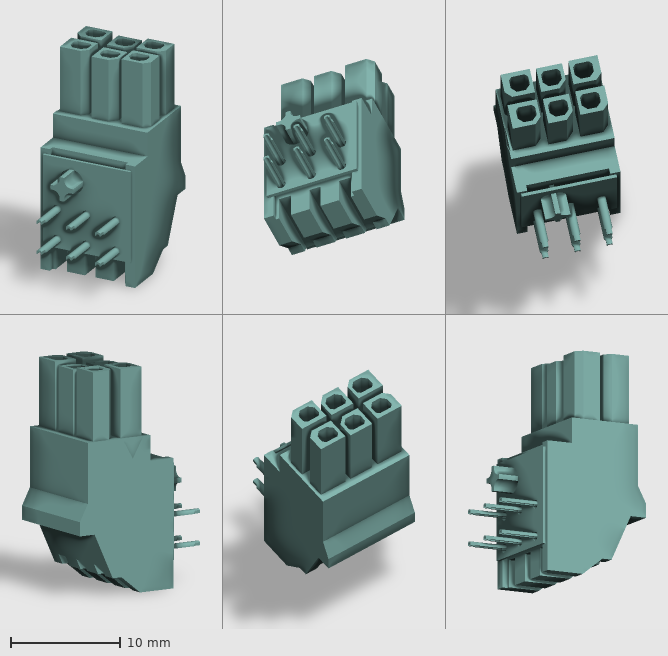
import cadquery as cq
import math

body_width = 9.7
body_top = 14.54
step_height = 12.15
step_depth = 2.52
back_face = 9.38
latch_back = 10.24
side_outline = [
    (0, 0),
    (3.65, 0),
    (5.7, 1.64),
    (6.65, 1.64),
    (8.65, 5.92),
    (latch_back, 5.92),
    (latch_back, 7.24),
    (back_face, 8.85),
    (back_face, body_top),
    (step_depth, body_top),
    (step_depth, step_height),
    (0, step_height),
]

channel_width = 7.76
channel_depth = 0.52
outer_gap_start = 2.4
outer_gap_end = 3.57
middle_gap_width = 1.1

plate_width = 8.94
plate_thickness = 0.3
plate_bottom = 2.55
plate_top = 11.62

pitch = 3.0
columns = (-pitch, 0, pitch)

overall_height = 20.98
outer_tower_height = overall_height - body_top
middle_tower_height = 6.15
outer_tower_inner_x = 1.8
outer_tower_width = 2.73
middle_tower_width = 2.43
tower_depth = 2.3
tower_chamfer = 0.59
middle_chamfer = 0.71
back_row_y = 8.6
front_row_y = back_row_y - pitch
front_middle_depth = 2.41

opening_width = 1.78
opening_depth = 1.5
opening_inset = 0.42
opening_back_chamfer = 0.27
opening_front_chamfer = 0.46

notch_depth = 0.08
notch_width = 2.3
notch_height = 2.0

pin_tip_y = -3.92
pin_radius = 0.4
pin_groove_radius = 0.19
pin_drop = 0.1
pin_tip_width = 0.55
pin_tip_length = 0.52
pin_shoulder_length = 0.17
hole_radius = 0.42
lower_pin_z = 3.46
pin_rows = (lower_pin_z, lower_pin_z + pitch)

peg_x = -pitch / 2
peg_z = 9.5
peg_radius = 1.2
peg_end_y = -2.29
flute_offset = 0.97
peg_arm_width = 0.46


def block(x_range, y_range, z_range):
    """Box between two limits along each axis."""
    lows, highs = zip(x_range, y_range, z_range)
    sizes = [high - low for low, high in zip(lows, highs)]
    return cq.Workplane("XY").box(*sizes, centered=False).translate(lows)


def rod(x, z, radius, y_start, y_end):
    """Cylinder along Y."""
    plane = cq.Workplane("XZ", origin=(x, y_start, z))
    return plane.circle(radius).extrude(y_start - y_end)


def make_housing():
    half = body_width / 2
    housing = cq.Workplane("YZ", origin=(-half, 0, 0)).polyline(side_outline).close().extrude(body_width)
    channel = block((-channel_width / 2, channel_width / 2), (0, channel_depth), (0, step_height))
    housing = housing.cut(channel)

    gaps = (
        (-outer_gap_end, -outer_gap_start),
        (-middle_gap_width / 2, middle_gap_width / 2),
        (outer_gap_start, outer_gap_end),
    )
    for gap in gaps:
        housing = housing.cut(block(gap, (0, latch_back), (0, plate_bottom)))

    notch_outline = [
        (front_row_y, body_top),
        (front_row_y - notch_width, body_top),
        (front_row_y - notch_width / 2, body_top - notch_height),
    ]
    notch = cq.Workplane("YZ", origin=(-half, 0, 0)).polyline(notch_outline).close().extrude(notch_depth)
    return housing.cut(notch)


def make_tower(left, right, back, depth, height, chamfer, chamfer_left=False):
    """Socket tower with one front corner chamfered along its height."""
    front = back - depth
    cut_x, square_x, inward = (left, right, 1) if chamfer_left else (right, left, -1)
    outline = [
        (square_x, back),
        (square_x, front),
        (cut_x + inward * chamfer, front),
        (cut_x, front + chamfer),
        (cut_x, back),
    ]
    return cq.Workplane("XY", origin=(0, 0, body_top)).polyline(outline).close().extrude(height)


def make_opening(x, back):
    """Octagonal blind hole from the tower top down to the housing top."""
    side = x + opening_width / 2
    front = back - opening_depth
    outline = [
        (side - opening_back_chamfer, back),
        (side, back - opening_back_chamfer),
        (side, front + opening_front_chamfer),
        (side - opening_front_chamfer, front),
    ]
    mirrored = [(2 * x - px, py) for px, py in reversed(outline)]
    plane = cq.Workplane("XY", origin=(0, 0, body_top))
    return plane.polyline(outline + mirrored).close().extrude(outer_tower_height)


def make_tower_row(back, left_tower_chamfer_left, middle_depth):
    """Three towers side by side; the outer left one may mirror its chamfer."""
    inner = outer_tower_inner_x
    outer = inner + outer_tower_width
    half = middle_tower_width / 2
    left = make_tower(
        -outer, -inner, back, tower_depth, outer_tower_height, tower_chamfer, left_tower_chamfer_left
    )
    middle = make_tower(-half, half, back, middle_depth, middle_tower_height, middle_chamfer)
    right = make_tower(inner, outer, back, tower_depth, outer_tower_height, tower_chamfer)
    row = left.add(middle).add(right).combine()
    for x in columns:
        row = row.cut(make_opening(x, back - opening_inset))
    return row


def make_pin(x, z):
    """Half-round grooved pin, narrowed on both sides at its tip."""
    r = pin_radius
    g = pin_groove_radius
    length = channel_depth - pin_tip_y
    bar = (
        cq.Workplane("XZ", origin=(x, channel_depth, z - pin_drop))
        .moveTo(-r, 0)
        .threePointArc((0, r), (r, 0))
        .lineTo(g, 0)
        .threePointArc((0, g), (-g, 0))
        .close()
        .extrude(length)
    )
    shoulder_y = pin_tip_y + pin_tip_length
    half_tip = pin_tip_width / 2
    waste = [
        (half_tip, pin_tip_y),
        (half_tip, shoulder_y),
        (r, shoulder_y + pin_shoulder_length),
        (r, pin_tip_y),
    ]
    for side in (-1, 1):
        outline = [(x + side * px, py) for px, py in waste]
        plane = cq.Workplane("XY", origin=(0, 0, z - pin_drop))
        bar = bar.cut(plane.polyline(outline).close().extrude(r))
    return bar


def make_plate():
    plate = block((-plate_width / 2, plate_width / 2), (-plate_thickness, 0), (plate_bottom, plate_top))
    for x in columns:
        for z in pin_rows:
            plate = plate.cut(rod(x, z, hole_radius, 0, -plate_thickness))
    return plate.cut(rod(peg_x, peg_z, peg_radius, 0, -plate_thickness))


def make_peg():
    """Cross-shaped peg rising from the channel floor through the plate."""
    length = channel_depth - peg_end_y
    peg = rod(peg_x, peg_z, peg_radius, channel_depth, peg_end_y)
    arm = peg_arm_width / 2
    arc_middle = flute_offset - (flute_offset - arm) * math.sqrt(0.5)
    for side_x in (-1, 1):
        for side_z in (-1, 1):
            flute = (
                cq.Workplane("XZ", origin=(peg_x, channel_depth, peg_z))
                .moveTo(side_x * arm, side_z * flute_offset)
                .threePointArc(
                    (side_x * arc_middle, side_z * arc_middle),
                    (side_x * flute_offset, side_z * arm),
                )
                .lineTo(side_x * peg_radius, side_z * arm)
                .lineTo(side_x * peg_radius, side_z * peg_radius)
                .lineTo(side_x * arm, side_z * peg_radius)
                .close()
                .extrude(length)
            )
            peg = peg.cut(flute)
    return peg


result = (
    make_housing()
    .union(make_tower_row(back_row_y, True, tower_depth))
    .union(make_tower_row(front_row_y, False, front_middle_depth))
    .union(make_plate())
    .union(make_peg())
)
for pin_x in columns:
    for pin_z in pin_rows:
        result = result.union(make_pin(pin_x, pin_z))